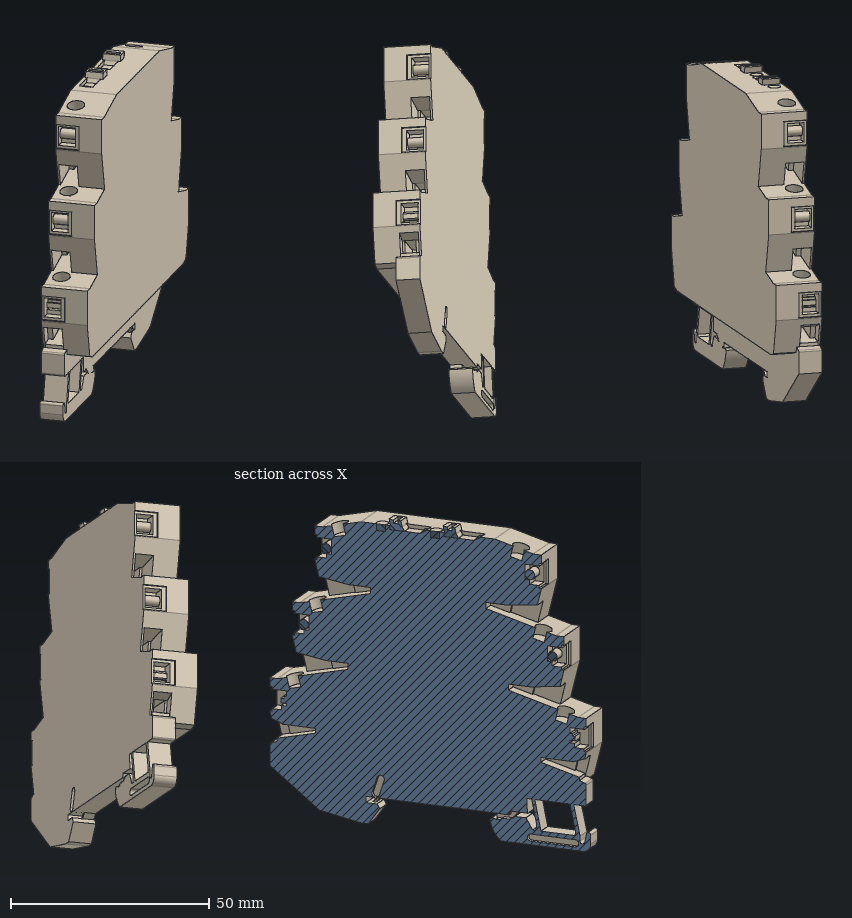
import cadquery as cq
import math

WIDTH = 12.2
LOWER_WIDTH = 6.2

TIERS = range(3)
LAST_TIER = 2
SIDES = (1, -1)
TIER_OUT = 6.2
TIER_DROP = 20.8
SLOPE = 4.0
DECK_TOP = 79.6
DECK_HALF = 18.3
EAVE_TOP = 76.9
EAVE_INNER = 28.9
EAVE_OUTER = 31.1
WALL_HEIGHT = 9.1
NEXT_RIM_GAP = EAVE_INNER + TIER_OUT - EAVE_OUTER
UNDERCUT_END = (
    EAVE_TOP - TIER_DROP + NEXT_RIM_GAP / SLOPE + (EAVE_TOP - WALL_HEIGHT) / SLOPE**2
) / (1 + 1 / SLOPE**2)
LAST_UNDERCUT_END = 18.7

TAB_TOP = 18.1
TAB_BOTTOM = 12.1
TAB_FILLET = 0.4
RAIL_SEAT = 7.1
REAR_BOTTOM = 16.6
REAR_EDGE = 17.3
REAR_CHAMFER_RUN = 2.1

FRAME_HEIGHT = 6.4
FRAME_DEPTH = 0.6
FRAME_SILL = 0.3
OPENING_LEFT = 0.6
OPENING_RIGHT = 5.0
OPENING_HEIGHT = 5.0
OPENING_SILL = 1.0
OPENING_DEPTH = 3.9
ROLLER_RADIUS = 1.3
ROLLER_CENTRE = 3.4
LEDGE_HEIGHT = ROLLER_CENTRE - ROLLER_RADIUS
LEDGE_OUT = 1.3
STEP_LOW = 2.6
STEP_MID = 4.0
STEP_HIGH = 4.6
STEP_OUT = 1.4
STEP_BACK = 0.7

SCREW_X = 3.4
SCREW_Y = 24.85
SCREW_RADIUS = 2.2
SCREW_DEPTH = 2.9
SCREW_CLEARANCE = 0.9
POCKET_LEFT = 0.5
POCKET_RIGHT = 5.4
POCKET_RISE = 5.8
CEILING_DROP = 1.15
POCKET_RUN = 7.4
BACK_TILT = 0.7
SLOT_LEFT = 1.85
SLOT_RIGHT = 4.8
SLOT_RUN = 12.7
LAST_POCKET_RUN = 2.5
LAST_SLOT_RUN = 10.6
LAST_SILL = 0.9

SWITCHES = range(2)
SWITCH_PITCH = 14.8
LAMP_X = 2.9
LAMP_Y = 12.95
LAMP_RADIUS = 1.6
LAMP_DEPTH = 1.8
CAP_LEFT = 0.6
CAP_RIGHT = 5.3
CAP_TOP = 81.15
CAP_START = 10.75
CAP_LENGTH = 3.35
CAP_LEAN = 0.35
GRIP_START = 9.4
GRIP_END = 8.3
GRIP_DEPTH = 0.9
GUIDE_LEFT = 1.15
GUIDE_RIGHT = 4.7
GUIDE_START = CAP_START - CAP_LEAN
GUIDE_FLOOR_END = 2.2
GUIDE_END = 0.35
GUIDE_DEPTH = 1.1
STOP_LEFT = 2.0
STOP_RIGHT = 3.8
STOP_START = 1.5
STOP_END = 0.7
STOP_DROP = 0.3
STEM_FOOT_END = 6.4

RECESS_DEPTH = 2.6
WEB_LEFT = 3.1
HOOK_SLOT_TOP = (13.0, 12.25)
HOOK_SLOT_BOTTOM = (14.4, 8.3)
HOOK_SLOT_RADIUS = 1.0
FOOT_SLOT_START = -28.2
FOOT_SLOT_END = -40.35
FOOT_SLOT_Z = 1.9
FOOT_SLOT_RADIUS = 0.9


def prism(points, x_start, x_end):
    """Closed (y, z) outline extruded along X."""
    return cq.Workplane("YZ", origin=(x_start, 0, 0)).polyline(points).close().extrude(x_end - x_start)


def block(x_span, y_span, z_span):
    """Axis-aligned box from three (start, end) spans."""
    spans = [sorted(span) for span in (x_span, y_span, z_span)]
    sizes = [high - low for low, high in spans]
    return cq.Workplane("XY").box(*sizes, centered=False).translate(tuple(low for low, high in spans))


def round_slot(start, end, radius, depth):
    """Round-ended slot cutter between two (y, z) centres, entering from the -X face."""
    run, rise = end[0] - start[0], end[1] - start[1]
    length = math.hypot(run, rise) + 2 * radius
    middle = ((start[0] + end[0]) / 2, (start[1] + end[1]) / 2)
    angle = math.degrees(math.atan2(rise, run))
    return cq.Workplane("YZ").center(*middle).slot2D(length, 2 * radius, angle).extrude(depth)


def wall_y(tier):
    return EAVE_OUTER + tier * TIER_OUT


def wall_bottom(tier):
    return EAVE_TOP - WALL_HEIGHT - tier * TIER_DROP


def undercut_end(tier):
    """(y, z) of the inner corner below a tier, on the +Y side."""
    z = LAST_UNDERCUT_END if tier == LAST_TIER else UNDERCUT_END - tier * TIER_DROP
    return undercut_y(tier, z), z


def undercut_y(tier, z):
    return wall_y(tier) - (wall_bottom(tier) - z) / SLOPE


def tier_points():
    """Stepped +Y edge of the housing, from the deck down to the last undercut."""
    points = [(DECK_HALF, DECK_TOP)]
    for tier in TIERS:
        rim_z = EAVE_TOP - tier * TIER_DROP
        points += [
            (EAVE_INNER + tier * TIER_OUT, rim_z),
            (wall_y(tier), rim_z),
            (wall_y(tier), wall_bottom(tier)),
        ]
        if tier != LAST_TIER:
            points.append(undercut_end(tier))
    return points


def mirrored(points):
    return [(-y, z) for y, z in reversed(points)]


def make_lower_width_shell():
    """Part of the housing next to the -X face, down to the rail seat and the fixed hook."""
    tab_y = wall_y(LAST_TIER)
    hook = [
        (tab_y, TAB_BOTTOM), (29.9, 1.9), (18.8, 0), (16.4, 0), (13.2, 4.4),
        (13.9, 5.6), (16.9, 5.6), (16.9, RAIL_SEAT),
    ]
    step = [(-22.1, RAIL_SEAT), (-22.6, 8.2), (-27.3, 8.2), (-27.1, TAB_BOTTOM), (-tab_y, TAB_BOTTOM)]
    edge = tier_points() + [undercut_end(LAST_TIER), (tab_y, TAB_TOP)]
    shell = prism(edge + hook + step + mirrored(edge), 0, LOWER_WIDTH)
    for y, z in ((tab_y, TAB_TOP), (-tab_y, TAB_TOP), (-tab_y, TAB_BOTTOM)):
        corner = cq.selectors.NearestToPointSelector((LOWER_WIDTH / 2, y, z))
        shell = shell.edges(corner).fillet(TAB_FILLET)
    return shell


def make_rear_shell():
    """Wider upper part of the housing, which ends above the rail."""
    edge_y = undercut_y(LAST_TIER, REAR_EDGE)
    edge = tier_points() + [(edge_y, REAR_EDGE), (edge_y - REAR_CHAMFER_RUN, REAR_BOTTOM)]
    return prism(edge + mirrored(edge), LOWER_WIDTH, WIDTH)


def make_spring_foot():
    """Rail latch hanging on two thin sloping legs on the -Y side."""
    latch = (
        cq.Workplane("YZ")
        .moveTo(-19.9, 0)
        .threePointArc((-18.0, 2.3), (-16.9, 5.5))
        .lineTo(-17.6, 6.0)
        .lineTo(-18.7, 5.6)
        .lineTo(-19.7, 5.6)
        .lineTo(-20.4, 6.2)
        .lineTo(-22.65, 6.2)
        .lineTo(-23.9, 7.05)
        .lineTo(-26.9, 7.05)
        .lineTo(-28.7, 4.05)
        .lineTo(-41.8, 4.05)
        .lineTo(-41.7, 2.6)
        .threePointArc((-42.2, 2.1), (-42.9, 2.6))
        .lineTo(-43.35, 4.7)
        .threePointArc((-44.0, 5.3), (-44.7, 4.7))
        .lineTo(-44.7, 2.3)
        .threePointArc((-44.05, 0.7), (-42.65, 0))
        .close()
        .extrude(LOWER_WIDTH)
    )
    inner_leg = [(-28.4, TAB_BOTTOM), (-29.7, 5.6), (-29.5, 4.05), (-31.0, 4.05), (-29.3, TAB_BOTTOM)]
    outer_leg = [(-38.9, TAB_BOTTOM), (-40.4, 4.7), (-40.2, 4.05), (-41.8, 4.05), (-40.0, TAB_BOTTOM)]
    for leg in (inner_leg, outer_leg):
        latch = latch.union(prism(leg, 0, LOWER_WIDTH))
    return latch


def make_webs():
    """Thin webs that close the hook mouth and tie the latch to the rail seat."""
    hook_web = [(13.4, RAIL_SEAT), (14.3, RAIL_SEAT), (15.7, 5.6), (14.8, 5.6)]
    latch_web = [(-18.4, RAIL_SEAT), (-18.4, 5.6), (-22.7, 6.1), (-23.7, 7.2), (-24.85, 8.2), (-22.4, 8.2)]
    return prism(hook_web, WEB_LEFT, LOWER_WIDTH).union(prism(latch_web, WEB_LEFT, LOWER_WIDTH))


def opening_back(tier):
    return wall_y(tier) - FRAME_DEPTH - OPENING_DEPTH


def cut_terminal(housing, tier, side):
    """Shallow frame with the deeper conductor opening inside it, which has a ledge at its back."""
    corner_z = wall_bottom(tier)
    outer = side * wall_y(tier)
    frame_floor = outer - side * FRAME_DEPTH
    frame_z = corner_z + FRAME_SILL
    opening_z = corner_z + OPENING_SILL
    frame = block((0, LOWER_WIDTH), (frame_floor, outer), (frame_z, frame_z + FRAME_HEIGHT))
    opening_x = (OPENING_LEFT, OPENING_RIGHT)
    back = side * opening_back(tier)
    opening = block(opening_x, (back, frame_floor), (opening_z, opening_z + OPENING_HEIGHT))
    ledge = block(opening_x, (back, back + side * LEDGE_OUT), (opening_z, corner_z + LEDGE_HEIGHT))
    return housing.cut(frame).cut(opening.cut(ledge))


def make_stepped_contact(side):
    """Two-step ledge at the back of the last tier's opening."""
    base_z = wall_bottom(LAST_TIER)
    back = opening_back(LAST_TIER)
    points = [
        (side * back, base_z + STEP_LOW),
        (side * (back + STEP_OUT), base_z + STEP_LOW),
        (side * (back + STEP_OUT), base_z + STEP_MID),
        (side * (back + STEP_BACK), base_z + STEP_MID),
        (side * (back + STEP_BACK), base_z + STEP_HIGH),
        (side * back, base_z + STEP_HIGH),
    ]
    return prism(points, OPENING_LEFT, OPENING_RIGHT)


def make_screw_hole(tier, side):
    """Blind screw hole square to the sloped roof."""
    y = SCREW_Y + tier * TIER_OUT
    z = DECK_TOP - (SCREW_Y - DECK_HALF) / SLOPE - tier * TIER_DROP
    centre = cq.Vector(SCREW_X, side * y, z)
    outward = cq.Vector(0, side, SLOPE).normalized()
    start = centre + outward * SCREW_CLEARANCE
    return cq.Workplane(cq.Solid.makeCylinder(SCREW_RADIUS, SCREW_DEPTH + SCREW_CLEARANCE, start, outward * -1))


def make_pocket(tier, side):
    """Pocket in the undercut with a narrower slot behind it; the floors rise inward like the roofs."""
    last = tier == LAST_TIER
    corner_y, corner_z = undercut_end(tier)
    sill = LAST_SILL if last else 0
    pocket_back = corner_y - (LAST_POCKET_RUN if last else POCKET_RUN)
    slot_back = corner_y - (LAST_SLOT_RUN if last else SLOT_RUN)
    mouth_z = corner_z + POCKET_RISE
    ceiling_z = mouth_z - CEILING_DROP

    def floor_point(y):
        return y, corner_z + sill + (corner_y - y) / SLOPE

    front = [(corner_y, corner_z), (undercut_y(tier, mouth_z), mouth_z), (pocket_back + BACK_TILT, ceiling_z)]
    sill_top = [floor_point(corner_y)] if last else []
    pocket = front + [floor_point(pocket_back)] + sill_top
    slot = front + [(slot_back, ceiling_z), floor_point(slot_back)] + sill_top
    cutters = [
        prism([(side * y, z) for y, z in points], x_start, x_end)
        for points, x_start, x_end in (
            (pocket, POCKET_LEFT, POCKET_RIGHT),
            (slot, SLOT_LEFT, SLOT_RIGHT),
        )
    ]
    return cutters[0].union(cutters[1])


def make_lamp(index):
    """Round lamp lens, flush with the deck."""
    base = (LAMP_X, LAMP_Y - index * SWITCH_PITCH, DECK_TOP - LAMP_DEPTH)
    return cq.Workplane("XY", origin=base).circle(LAMP_RADIUS).extrude(LAMP_DEPTH)


def make_guide(index):
    """Slot in the deck for the switch stem, with a ramp and a stop block at its -Y end."""
    floor_z = DECK_TOP - GUIDE_DEPTH
    points = [
        (GUIDE_START, DECK_TOP), (GUIDE_START, floor_z), (GUIDE_FLOOR_END, floor_z), (GUIDE_END, DECK_TOP),
    ]
    stop = block(
        (STOP_LEFT, STOP_RIGHT), (STOP_START, STOP_END), (floor_z, DECK_TOP - STOP_DROP)
    )
    return prism(points, GUIDE_LEFT, GUIDE_RIGHT).cut(stop).translate((0, -index * SWITCH_PITCH, 0))


def make_switch(index):
    """Slide switch: a leaning cap with a grip recess, on a stem that fills the +Y end of the guide."""
    cap_end = CAP_START - CAP_LENGTH
    base_end = cap_end - CAP_LEAN
    floor_z = DECK_TOP - GUIDE_DEPTH
    cap = prism(
        [(CAP_START, CAP_TOP), (cap_end, CAP_TOP), (base_end, DECK_TOP), (GUIDE_START, DECK_TOP)],
        CAP_LEFT, CAP_RIGHT,
    )
    stem = prism(
        [(GUIDE_START, DECK_TOP), (base_end, DECK_TOP), (STEM_FOOT_END, floor_z), (GUIDE_START, floor_z)],
        GUIDE_LEFT, GUIDE_RIGHT,
    )
    grip = block((GUIDE_LEFT, GUIDE_RIGHT), (GRIP_START, GRIP_END), (CAP_TOP - GRIP_DEPTH, CAP_TOP))
    return cap.union(stem).cut(grip).translate((0, -index * SWITCH_PITCH, 0))


def make_roller(tier, side):
    """Round clamping bar across the opening, resting on its back wall."""
    y = side * (opening_back(tier) + ROLLER_RADIUS)
    z = wall_bottom(tier) + ROLLER_CENTRE
    return (
        cq.Workplane("YZ", origin=(OPENING_LEFT, y, z))
        .circle(ROLLER_RADIUS)
        .extrude(OPENING_RIGHT - OPENING_LEFT)
    )


def make_housing():
    """Complete housing, with seats for the lamps and guides for the switches."""
    housing = make_lower_width_shell().union(make_rear_shell())
    housing = housing.union(make_spring_foot()).union(make_webs())
    for side in SIDES:
        for tier in TIERS:
            housing = cut_terminal(housing, tier, side)
            housing = housing.cut(make_screw_hole(tier, side)).cut(make_pocket(tier, side))
        housing = housing.union(make_stepped_contact(side))
    for index in SWITCHES:
        housing = housing.cut(make_lamp(index)).cut(make_guide(index))
    foot_ends = (FOOT_SLOT_START, FOOT_SLOT_Z), (FOOT_SLOT_END, FOOT_SLOT_Z)
    housing = housing.cut(round_slot(*foot_ends, FOOT_SLOT_RADIUS, RECESS_DEPTH))
    return housing.cut(round_slot(HOOK_SLOT_TOP, HOOK_SLOT_BOTTOM, HOOK_SLOT_RADIUS, RECESS_DEPTH))


housing = make_housing()
lamps = [make_lamp(index).val() for index in SWITCHES]
switches = [make_switch(index).val() for index in SWITCHES]
rollers = [make_roller(tier, side).val() for tier in TIERS if tier != LAST_TIER for side in SIDES]

result = cq.Compound.makeCompound([housing.val(), *lamps, *switches, *rollers])